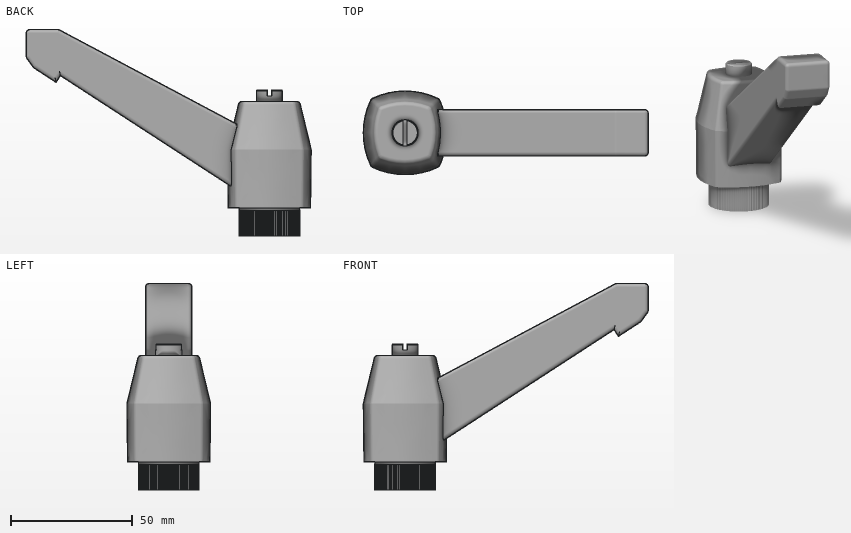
import math

import cadquery as cq


overall_length = 117.2
hub_half_width = 17.2
arm_end_x = overall_length - hub_half_width
overall_height = 85.0

hub_bottom_z = 11.6
hub_waist_z = 35.5
hub_top_z = 55.5
hub_corner = 14.0
hub_upper_taper = 13.5
hub_lower_taper = 0.6
hub_corner_radius = 2.0
rim_radius = 1.8

insert_diameter = 25.0
serration_top_z = 10.5
serration_count = 96
serration_depth = 0.2

screw_diameter = 10.8
screw_height = 4.7
screw_chamfer = 0.4
slot_width = 1.8
slot_depth = 2.5

arm_width = 19.1
arm_edge_radius = 1.5
arm_root_x = 7.0
arm_shoulder_x = 13.6
arm_shoulder_z = 46.2
grip_top_x = 86.6
arm_under_angle = math.radians(33.0)
notch_x = 85.9
notch_z = 66.0
notch_depth = 3.3
grip_end_z = 73.5
grip_lower_x = 97.0


def make_hub():
    """Two tapered blocks on one bulged-square waist, with rounded corners and top rim."""
    w = hub_half_width
    c = hub_corner

    def taper_from_waist(height, taper):
        return (
            cq.Workplane("XY")
            .workplane(offset=hub_waist_z)
            .moveTo(c, -c)
            .threePointArc((w, 0), (c, c))
            .threePointArc((0, w), (-c, c))
            .threePointArc((-w, 0), (-c, -c))
            .threePointArc((0, -w), (c, -c))
            .close()
            .extrude(height, taper=taper)
        )

    upper = taper_from_waist(hub_top_z - hub_waist_z, hub_upper_taper)
    lower = taper_from_waist(hub_bottom_z - hub_waist_z, hub_lower_taper)
    hub = upper.union(lower)
    corner_edges = hub.edges().filter(lambda edge: edge.BoundingBox().zlen > rim_radius)
    hub = corner_edges.fillet(hub_corner_radius)
    return hub.faces(">Z").edges().fillet(rim_radius)


def make_arm():
    """Sloping arm with a flat-topped grip and a step under its end."""
    slope = math.tan(arm_under_angle)
    root_z = notch_z - (notch_x - arm_root_x) * slope
    step_x = notch_x + notch_depth * math.sin(arm_under_angle)
    step_z = notch_z - notch_depth * math.cos(arm_under_angle)
    grip_lower_z = step_z + (grip_lower_x - step_x) * slope
    rounded_corners = [
        (grip_top_x, overall_height),
        (arm_end_x, overall_height),
        (arm_end_x, grip_end_z),
        (grip_lower_x, grip_lower_z),
    ]
    arm = (
        cq.Workplane("XZ")
        .moveTo(arm_root_x, root_z)
        .lineTo(arm_root_x, arm_shoulder_z)
        .lineTo(arm_shoulder_x, arm_shoulder_z)
        .lineTo(grip_top_x, overall_height)
        .lineTo(arm_end_x, overall_height)
        .lineTo(arm_end_x, grip_end_z)
        .lineTo(grip_lower_x, grip_lower_z)
        .lineTo(step_x, step_z)
        .lineTo(notch_x, notch_z)
        .close()
        .extrude(arm_width / 2, both=True)
    )
    for x, z in rounded_corners:
        corner = cq.selectors.NearestToPointSelector((x, 0, z))
        arm = arm.edges("|Y").edges(corner).fillet(arm_edge_radius)
    return arm.faces("<Y or >Y").edges().fillet(arm_edge_radius)


def make_insert():
    """Plain collar above a ring of fine V-shaped serrations."""
    tip_radius = insert_diameter / 2
    root_radius = tip_radius - serration_depth
    points = []
    for i in range(2 * serration_count):
        angle = math.pi * i / serration_count
        radius = root_radius if i % 2 else tip_radius
        points.append((radius * math.cos(angle), radius * math.sin(angle)))
    serrations = cq.Workplane("XY").polyline(points).close().extrude(serration_top_z)
    collar = (
        cq.Workplane("XY")
        .workplane(offset=serration_top_z)
        .circle(tip_radius)
        .extrude(hub_bottom_z - serration_top_z)
    )
    return serrations.union(collar)


def make_screw_head():
    """Chamfered cheese head with a straight slot along Y."""
    head = (
        cq.Workplane("XY")
        .workplane(offset=hub_top_z)
        .circle(screw_diameter / 2)
        .extrude(screw_height)
        .faces(">Z")
        .edges()
        .chamfer(screw_chamfer)
    )
    slot = (
        cq.Workplane("XY")
        .workplane(offset=hub_top_z + screw_height - slot_depth)
        .rect(slot_width, screw_diameter)
        .extrude(slot_depth)
    )
    return head.cut(slot)


result = make_hub().union(make_arm()).union(make_insert()).union(make_screw_head())